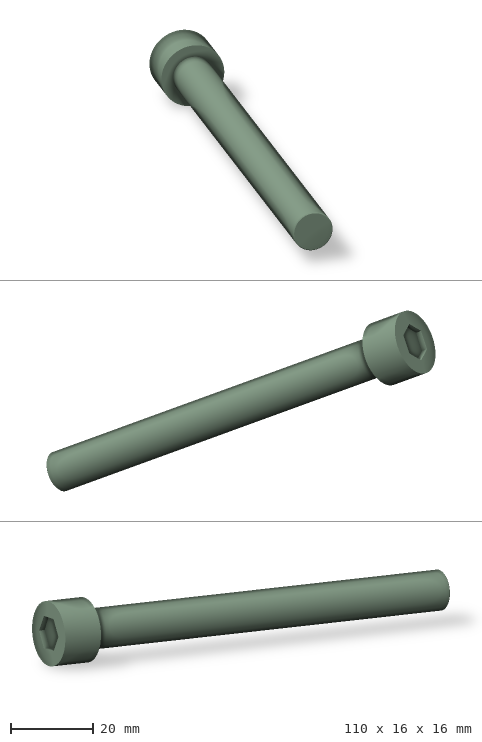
import cadquery as cq
import math

total_length = 110.0
head_diameter = 16.0
shank_diameter = 10.0
head_height = shank_diameter
tip_chamfer = 0.2
socket_across_flats = 8.0
socket_depth = 1.5

head_face_x = -total_length / 2


def cylinder_along_x(diameter, length):
    """Cylinder starting at the outer face of the head and running toward +X."""
    return cq.Workplane("YZ", origin=(head_face_x, 0, 0)).circle(diameter / 2).extrude(length)


def hex_socket():
    """Hexagonal socket with corners on the Y axis and flats facing +Z and -Z."""
    across_corners = socket_across_flats / math.cos(math.pi / 6)
    return (
        cq.Workplane("YZ", origin=(head_face_x, 0, 0))
        .polygon(6, across_corners)
        .extrude(socket_depth)
    )


head = cylinder_along_x(head_diameter, head_height)
shank = cylinder_along_x(shank_diameter, total_length).faces(">X").chamfer(tip_chamfer)

result = head.union(shank).cut(hex_socket())